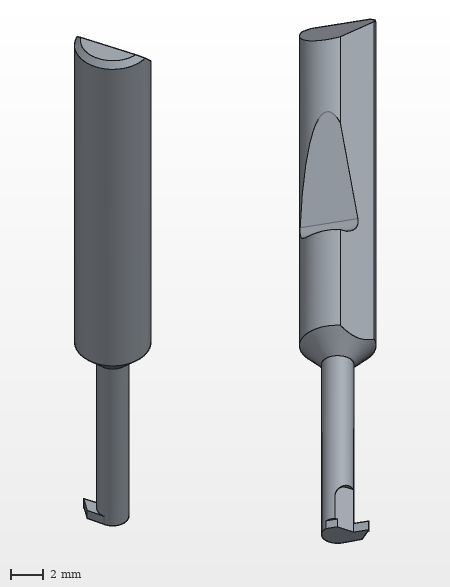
import cadquery as cq
import math

total_length = 38.1
shank_diameter = 4.75
neck_diameter = 2.02
shank_base = 14.02
top_chamfer = 0.4
body_base = 0.1

slant_front_y = -0.6

shank_flat_offset = 2.0
shank_flat_angle = 144.0

notch_top = 29.8
notch_radius = 1.15
notch_center_y = 2.25
notch_center_z = 22.2

relief_offset = 0.75
relief_angle = 138.0
relief_height = 3.25
relief_corner_radius = 0.9

heel_y = 0.88
heel_height = 0.7

head_top = 0.75
head_tip_x = -2.02
head_corner_x = -1.3
head_corner_y = -0.95
tip_width = 0.1

shank_radius = shank_diameter / 2
neck_radius = neck_diameter / 2
clearance = 2 * shank_diameter


def turned_body():
    """Neck, 45 degree cone and chamfered shank as one revolved profile."""
    cone_base = shank_base - (shank_radius - neck_radius)
    profile = [
        (0, body_base),
        (neck_radius, body_base),
        (neck_radius, cone_base),
        (shank_radius, shank_base),
        (shank_radius, total_length - top_chamfer),
        (shank_radius - top_chamfer, total_length),
        (0, total_length),
    ]
    return cq.Workplane("XZ").polyline(profile).close().revolve(360, (0, 0), (0, 1))


def side_cutter(offset, angle, base, top):
    """Block lying beyond a vertical plane at the given offset and direction."""
    block = cq.Workplane("XY").box(clearance, clearance, top - base, centered=(False, True, False))
    return block.translate((offset, 0, base)).rotate((0, 0, 0), (0, 0, 1), angle)


def top_slant():
    """Wedge removed from the back of the shank top at 45 degrees."""
    return (
        cq.Workplane("YZ")
        .moveTo(slant_front_y, total_length)
        .lineTo(slant_front_y + clearance, total_length - clearance)
        .lineTo(slant_front_y + clearance, total_length)
        .close()
        .extrude(clearance, both=True)
    )


def clamping_notch():
    """Ramp across the back of the shank, tangent to a round lower end."""
    to_start_y = shank_radius - notch_center_y
    to_start_z = notch_top - notch_center_z
    start_distance = math.hypot(to_start_y, to_start_z)
    tangent_angle = math.atan2(to_start_z, to_start_y) + math.acos(notch_radius / start_distance)
    middle_angle = (tangent_angle + 1.5 * math.pi) / 2

    def on_arc(angle):
        return (
            notch_center_y + notch_radius * math.cos(angle),
            notch_center_z + notch_radius * math.sin(angle),
        )

    notch_base = notch_center_z - notch_radius
    return (
        cq.Workplane("YZ")
        .moveTo(shank_radius, notch_top)
        .lineTo(*on_arc(tangent_angle))
        .threePointArc(on_arc(middle_angle), (notch_center_y, notch_base))
        .lineTo(clearance, notch_base)
        .lineTo(clearance, notch_top)
        .close()
        .extrude(clearance, both=True)
    )


def neck_relief():
    """Flat behind the head, with a rounded upper corner towards the back."""
    half_width = math.sqrt(neck_radius**2 - relief_offset**2)
    block = cq.Workplane("XY").box(neck_radius, 2 * half_width, relief_height, centered=(False, True, False))
    block = block.edges("|X and >Z and <Y").fillet(relief_corner_radius)
    return block.translate((relief_offset, 0, 0)).rotate((0, 0, 0), (0, 0, 1), relief_angle)


def cutting_head():
    """Hooked head reaching towards -X, its rake face on the XZ plane."""
    outline = [
        (head_tip_x, 0),
        (head_corner_x, head_corner_y),
        (0, -neck_radius),
        (0, 0),
    ]
    head = cq.Workplane("XY").workplane(offset=body_base).polyline(outline).close()
    return head.extrude(head_top - body_base)


def cutting_tip():
    """Small point below the outer corner of the head."""
    edge_slope = head_corner_y / (head_corner_x - head_tip_x)
    tip = (
        cq.Workplane("XZ")
        .moveTo(head_tip_x, 0)
        .lineTo(head_tip_x + tip_width, body_base)
        .lineTo(head_tip_x + tip_width, head_top)
        .lineTo(head_tip_x, head_top)
        .close()
        .extrude(-edge_slope * tip_width)
    )
    corner = [
        (head_tip_x, 0),
        (head_tip_x + tip_width, edge_slope * tip_width),
        (head_tip_x + tip_width, 0),
    ]
    return tip.intersect(cq.Workplane("XY").polyline(corner).close().extrude(head_top))


result = (
    turned_body()
    .cut(side_cutter(shank_flat_offset, shank_flat_angle, 0, total_length))
    .cut(top_slant())
    .cut(clamping_notch())
    .cut(neck_relief())
    .cut(side_cutter(heel_y, 90, 0, heel_height))
    .union(cutting_head())
    .union(cutting_tip())
)